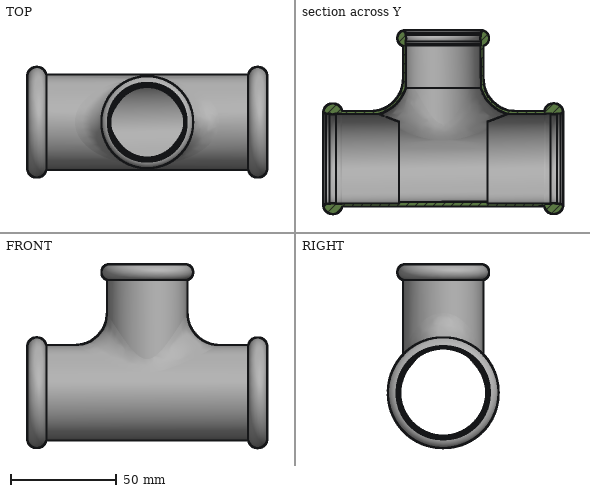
import cadquery as cq

run_half_length = 57.0
branch_height = 61.0

run_outer_radius = 45.4 / 2
run_bore_radius = 42.4 / 2
run_socket_radius = 42.7 / 2
run_core_radius = 40.8 / 2
run_mouth_radius = 22.15
run_bead_radius = 52.7 / 2
run_bead_width = 9.1

branch_outer_radius = 38.4 / 2
branch_bore_radius = 35.4 / 2
branch_socket_radius = 35.8 / 2
branch_core_radius = 33.6 / 2
branch_mouth_radius = 18.7
branch_bead_radius = 43.7 / 2
branch_bead_width = 7.5

lead_in_depth = 1.3
ring_width = 2.9
ring_bulge = 0.35
step_length = 0.6
run_ring_start = 3.1
run_socket_depth = 8.4
branch_ring_start = 2.4
branch_socket_depth = 6.6

run_stop = 21.0
branch_stop = 33.5

outer_blend_radius = 15.0
inner_blend_radius = 19.0


def tee(run_radius, branch_radius, blend_radius, half_length, height):
    """Two crossing cylinders joined by a filleted saddle."""
    run = cq.Workplane("YZ").circle(run_radius).extrude(half_length, both=True)
    branch = cq.Workplane("XY").circle(branch_radius).extrude(height)
    saddle_edge = cq.selectors.BoxSelector(
        (-run_radius, -run_radius, 0),
        (run_radius, run_radius, branch_stop),
    )
    return run.union(branch).edges(saddle_edge).fillet(blend_radius)


def bead(height, outer_radius, mouth_radius, bead_radius, width):
    """Rounded rim at the end of a pipe that stands along Z, up to the given height."""
    return (
        cq.Workplane("XZ")
        .moveTo(0, height - width)
        .lineTo(outer_radius, height - width)
        .threePointArc((bead_radius, height - width / 2), (mouth_radius, height))
        .lineTo(0, height)
        .close()
        .revolve()
    )


def mouth_void(height, stop, mouth_radius, socket_radius, bore_radius, ring_start, socket_depth):
    """Hollow of one mouth along Z, from the tube stop up to the mouth plane."""
    ring_top = height - ring_start
    ring_bottom = ring_top - ring_width
    ring_crest = (socket_radius - ring_bulge, ring_top - ring_width / 2)
    socket_bottom = height - socket_depth
    return (
        cq.Workplane("XZ")
        .moveTo(0, height)
        .lineTo(mouth_radius, height)
        .lineTo(socket_radius, height - lead_in_depth)
        .lineTo(socket_radius, ring_top)
        .threePointArc(ring_crest, (socket_radius, ring_bottom))
        .lineTo(socket_radius, socket_bottom)
        .lineTo(bore_radius, socket_bottom - step_length)
        .lineTo(bore_radius, stop)
        .lineTo(0, stop)
        .close()
        .revolve()
    )


def on_run_end(shape, side):
    """Turn a shape built along +Z onto the run: side +1 is the +X end, -1 the -X end."""
    return shape.rotate((0, 0, 0), (0, 1, 0), side * 90)


run_bead = bead(run_half_length, run_outer_radius, run_mouth_radius, run_bead_radius, run_bead_width)
branch_bead = bead(
    branch_height, branch_outer_radius, branch_mouth_radius, branch_bead_radius, branch_bead_width
)
run_mouth = mouth_void(
    run_half_length,
    run_stop,
    run_mouth_radius,
    run_socket_radius,
    run_bore_radius,
    run_ring_start,
    run_socket_depth,
)
branch_mouth = mouth_void(
    branch_height,
    branch_stop,
    branch_mouth_radius,
    branch_socket_radius,
    branch_bore_radius,
    branch_ring_start,
    branch_socket_depth,
)

body = tee(
    run_outer_radius,
    branch_outer_radius,
    outer_blend_radius,
    run_half_length - run_bead_width / 2,
    branch_height - branch_bead_width / 2,
)
body = body.union(branch_bead)
for side in (1, -1):
    body = body.union(on_run_end(run_bead, side))

body = body.cut(branch_mouth)
for side in (1, -1):
    body = body.cut(on_run_end(run_mouth, side))
core = tee(run_core_radius, branch_core_radius, inner_blend_radius, run_half_length, branch_height)
result = body.cut(core)